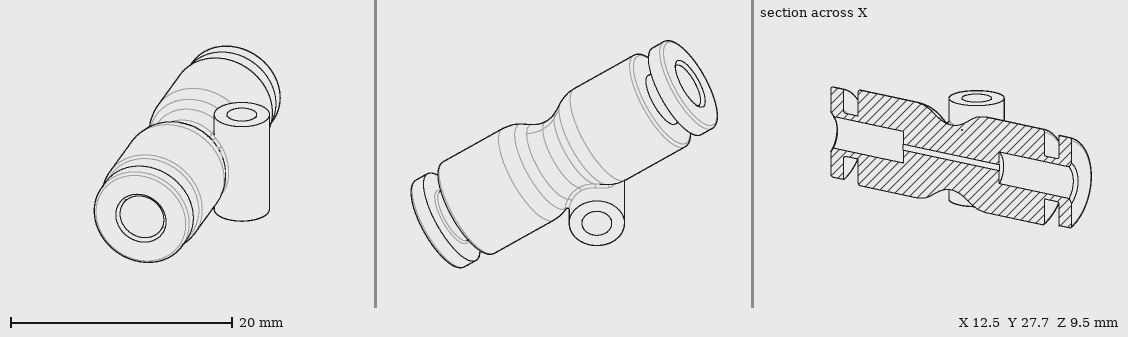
import cadquery as cq
import math

overall_length = 27.7
body_diameter = 9.5
body_length = 21.45
body_edge_round = 0.25

collar_diameter = 9.0
collar_thickness = 1.5
collar_edge_round = 0.25
neck_diameter = 5.05
neck_root_fillet = 0.2

waist_length = 7.87
waist_arc_radius = 3.0
waist_slope = math.radians(30)

flow_bore_diameter = 3.0
tube_socket_diameter = 4.15
tube_socket_depth = 8.3
socket_mouth_chamfer = 0.3

eye_diameter = 5.0
eye_hole_diameter = 2.7
eye_height = body_diameter
eye_overhang = 2.95
eye_root_fillet = 0.2

end_y = overall_length / 2
body_radius = body_diameter / 2
eye_offset = body_radius + eye_overhang - eye_diameter / 2


def turn(outline):
    """Revolve a closed outline about the Y axis."""
    return outline.revolve(360, (0, 0, 0), (0, 1, 0))


def both_ends(half):
    """Join a +Y half to its copy, turned half a turn about the X axis."""
    return half.union(half.rotate((0, 0, 0), (1, 0, 0), 180))


def make_half_barrel():
    """+Y half of the waisted barrel.

    The outline lies on the -X side, so the seam of the turned faces stays clear of the eye.
    """
    arc_length = waist_arc_radius * math.sin(waist_slope)
    arc_drop = waist_arc_radius * (1 - math.cos(waist_slope))
    arc_middle_length = waist_arc_radius * math.sin(waist_slope / 2)
    arc_middle_drop = waist_arc_radius * (1 - math.cos(waist_slope / 2))

    shoulder_y = waist_length / 2
    cone_length = shoulder_y - 2 * arc_length
    waist_radius = body_radius - 2 * arc_drop - cone_length * math.tan(waist_slope)

    outline = (
        cq.Workplane("XY")
        .lineTo(-waist_radius, 0)
        .threePointArc(
            (-waist_radius - arc_middle_drop, arc_middle_length),
            (-waist_radius - arc_drop, arc_length),
        )
        .lineTo(-body_radius + arc_drop, shoulder_y - arc_length)
        .threePointArc(
            (-body_radius + arc_middle_drop, shoulder_y - arc_middle_length),
            (-body_radius, shoulder_y),
        )
        .lineTo(-body_radius, body_length / 2)
        .lineTo(0, body_length / 2)
        .close()
    )
    return turn(outline).faces(">Y").edges().fillet(body_edge_round)


def make_eye():
    """Solid post that carries the mounting hole."""
    base = cq.Workplane("XY", origin=(eye_offset, 0, -eye_height / 2))
    return base.circle(eye_diameter / 2).extrude(eye_height)


def fillet_eye_root(body):
    """Round the corner where the eye meets the barrel."""
    eye_radius = eye_diameter / 2
    root_edges = [
        edge
        for edge in body.edges().vals()
        if abs(edge.Center().y) < eye_radius and edge.geomType() == "BSPLINE"
    ]
    return body.newObject(root_edges).fillet(eye_root_fillet)


def make_collar():
    """Collar and neck at the +Y end."""
    neck_length = end_y - collar_thickness - body_length / 2
    collar = cq.Workplane("XZ", origin=(0, end_y, 0)).circle(collar_diameter / 2).extrude(collar_thickness)
    collar = collar.faces(">Y").edges().fillet(collar_edge_round)
    collar = collar.faces("<Y").workplane().circle(neck_diameter / 2).extrude(neck_length)
    neck_root = cq.selectors.RadiusNthSelector(0)
    return collar.faces(">Y[-2]").edges(neck_root).fillet(neck_root_fillet)


def make_half_bore():
    """+Y half of the flow bore, with its chamfered tube socket."""
    flow_radius = flow_bore_diameter / 2
    socket_radius = tube_socket_diameter / 2
    socket_floor_y = end_y - tube_socket_depth
    outline = cq.Workplane("XY").polyline([
        (0, 0),
        (flow_radius, 0),
        (flow_radius, socket_floor_y),
        (socket_radius, socket_floor_y),
        (socket_radius, end_y - socket_mouth_chamfer),
        (socket_radius + socket_mouth_chamfer, end_y),
        (0, end_y),
    ])
    return turn(outline.close())


def make_eye_hole():
    """Through hole of the mounting eye."""
    base = cq.Workplane("XY", origin=(eye_offset, 0, -eye_height / 2))
    return base.circle(eye_hole_diameter / 2).extrude(eye_height)


part = fillet_eye_root(both_ends(make_half_barrel()).union(make_eye()))
part = part.union(both_ends(make_collar()))
part = part.cut(both_ends(make_half_bore()))
result = part.cut(make_eye_hole())